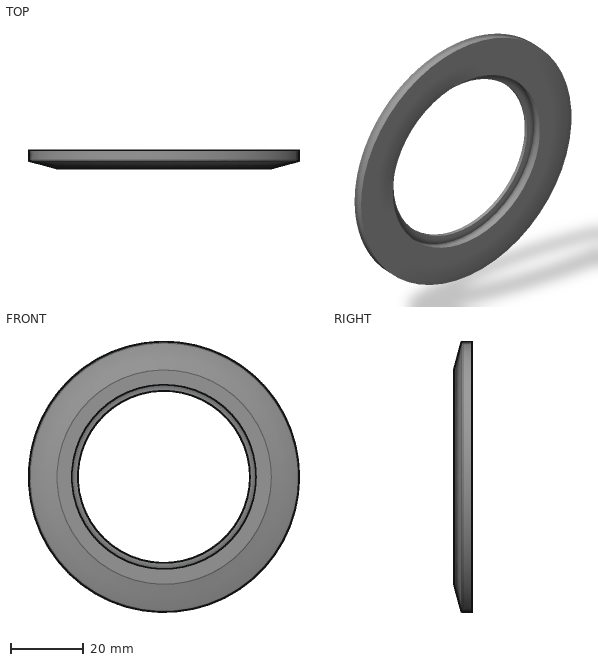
import cadquery as cq

outer_diameter = 75.0
bore_diameter = 47.6
counterbore_diameter = 51.1
hub_face_diameter = 59.4
thickness = 5.1
rim_thickness = 3.0
rim_fillet = 0.45
selection_margin = 0.1
counterbore_depth = 1.4
recess_diameter = 52.4
recess_depth = 2.6

outer_radius = outer_diameter / 2
bore_radius = bore_diameter / 2
counterbore_radius = counterbore_diameter / 2
recess_radius = recess_diameter / 2
hub_face_radius = hub_face_diameter / 2

recess_floor = thickness - recess_depth
rim_front = thickness - rim_thickness
section = (
    cq.Workplane("XY")
    .moveTo(bore_radius, recess_floor)
    .lineTo(recess_radius, recess_floor)
    .lineTo(recess_radius, thickness)
    .lineTo(outer_radius, thickness)
    .lineTo(outer_radius, rim_front)
    .lineTo(hub_face_radius, 0)
    .lineTo(counterbore_radius, 0)
    .lineTo(counterbore_radius, counterbore_depth)
    .lineTo(bore_radius, counterbore_depth)
    .close()
)
ring = section.revolve(360, (0, 0, 0), (0, 1, 0))

rim_corner = cq.selectors.BoxSelector(
    (-outer_diameter, rim_front - selection_margin, -outer_diameter),
    (outer_diameter, rim_front + selection_margin, outer_diameter),
)
result = ring.edges(rim_corner).fillet(rim_fillet)